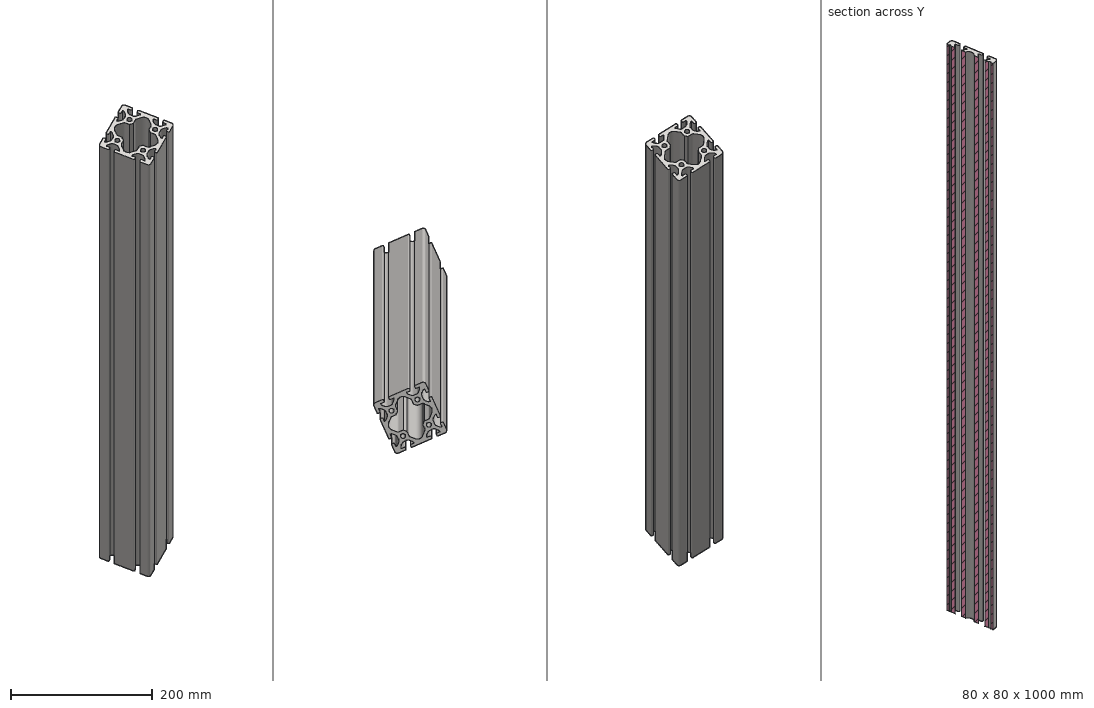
import cadquery as cq
import math

side = 80.0
length = 1000.0
corner_radius = 4.0
half_side = side / 2
core_spacing = half_side
core_offset = core_spacing / 2
core_half = 7.8
bore_diameter = 6.8

mouth_half = 4.0
mouth_radius = 1.3
lip_depth = 4.5
lip_radius = 1.0
slot_half = 9.8
shoulder_depth = 6.7
shoulder_radius = 4.0
slot_depth = half_side - core_offset - core_half
floor_radius = 5.5
floor_half = slot_half - (slot_depth - shoulder_depth)
outside_margin = 10.0

tip_wall = 7.0
gable_radius = 8.0
gable_peak = half_side - tip_wall + gable_radius * (math.sqrt(2) - 1)
arm_half = core_offset - core_half
arm_shoulder_reach = gable_peak - arm_half
arm_shoulder_radius = 3.4
core_chamfer = 4.0
middle_half = arm_half + core_chamfer


def about_axis(shape, quarter_turns):
    return shape.rotate((0, 0, 0), (0, 0, 1), 90 * quarter_turns)


def round_edge_pair(prism, x, y, radius):
    """Round the two upright edges at (x, y) and (-x, y)."""
    for edge_x in (x, -x):
        at_edge = cq.selectors.NearestToPointSelector((edge_x, y, length / 2))
        prism = prism.edges(at_edge).fillet(radius)
    return prism


def make_body():
    return cq.Workplane("XY").rect(side, side).extrude(length).edges("|Z").fillet(corner_radius)


def make_bores():
    cores = cq.Workplane("XY").rect(core_spacing, core_spacing, forConstruction=True).vertices()
    return cores.circle(bore_diameter / 2).extrude(length)


def make_slot():
    """T-slot cutter for the +Y face, centred on x = 0."""
    lip_y = half_side - lip_depth
    shoulder_y = half_side - shoulder_depth
    floor_y = half_side - slot_depth
    right_side = [
        (mouth_half + outside_margin, half_side + outside_margin),
        (mouth_half + outside_margin, half_side),
        (mouth_half, half_side),
        (mouth_half, lip_y),
        (slot_half, lip_y),
        (slot_half, shoulder_y),
        (floor_half, floor_y),
    ]
    left_side = [(-x, y) for x, y in reversed(right_side)]
    slot = cq.Workplane("XY").polyline(right_side + left_side).close().extrude(length)
    slot = round_edge_pair(slot, mouth_half, half_side, mouth_radius)
    slot = round_edge_pair(slot, mouth_half, lip_y, lip_radius)
    slot = round_edge_pair(slot, slot_half, shoulder_y, shoulder_radius)
    return round_edge_pair(slot, floor_half, floor_y, floor_radius)


def make_middle():
    """Square middle of the centre opening, chamfered where it meets the cores."""
    middle = cq.Workplane("XY").rect(2 * middle_half, 2 * middle_half).extrude(length)
    return middle.edges("|Z").chamfer(core_chamfer)


def make_arm():
    """Arm of the centre opening that reaches toward the +Y face."""
    outline = [
        (arm_half, 0),
        (arm_half, arm_shoulder_reach),
        (0, gable_peak),
        (-arm_half, arm_shoulder_reach),
        (-arm_half, 0),
    ]
    arm = cq.Workplane("XY").polyline(outline).close().extrude(length)
    arm = arm.edges("|Z and >Y").fillet(gable_radius)
    return round_edge_pair(arm, arm_half, arm_shoulder_reach, arm_shoulder_radius)


part = make_body().cut(make_bores()).cut(make_middle())
arm = make_arm()
slot = make_slot()
for turn in range(4):
    part = part.cut(about_axis(arm, turn))
    for offset in (-core_offset, core_offset):
        part = part.cut(about_axis(slot.translate((offset, 0, 0)), turn))

result = part.solids()